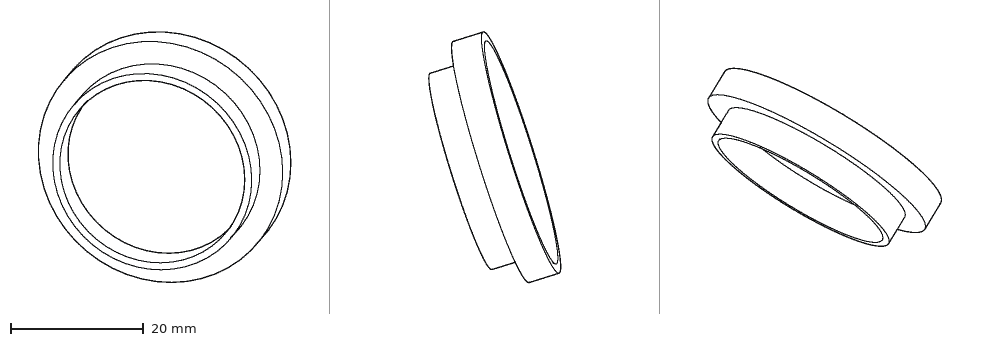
import cadquery as cq

flange_diameter = 38.1
spigot_diameter = 31.0
bore_diameter = 28.8
mouth_diameter = 35.2
total_length = 9.52
flange_thickness = total_length / 2

back_plane = cq.Workplane("XZ", origin=(0, total_length / 2, 0))

flange = back_plane.circle(flange_diameter / 2).extrude(flange_thickness)
spigot = back_plane.circle(spigot_diameter / 2).extrude(total_length)
bore = back_plane.circle(bore_diameter / 2).extrude(total_length)

mouth = (
    back_plane.circle(mouth_diameter / 2)
    .workplane(offset=flange_thickness)
    .circle(bore_diameter / 2)
    .loft()
)

result = flange.union(spigot).cut(bore).cut(mouth)